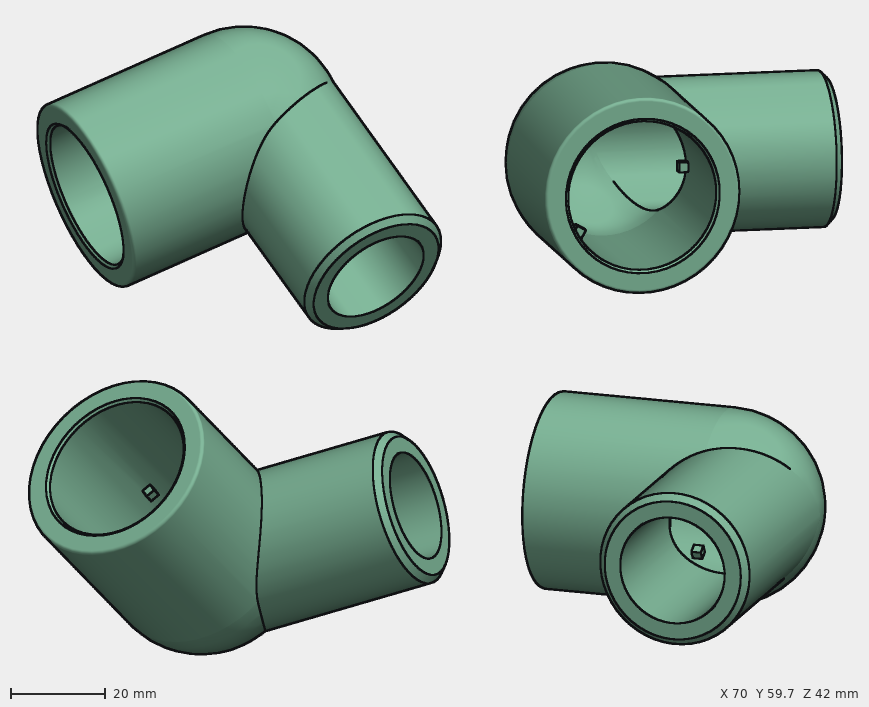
import cadquery as cq
import math

socket_diameter = 42.0
socket_bore = 32.0
socket_length = 38.65
rim_round = 0.7
bore_chamfer = 0.6

spigot_diameter = 33.25
spigot_bore = 23.25
spigot_reach = 49.0
spigot_chamfer = 1.5
spigot_offset = (socket_diameter - spigot_diameter) / 2
bore_clearance = 0.1
spigot_bore_offset = (socket_bore - spigot_bore) / 2 - bore_clearance

stop_count = 3
stop_width = 2.1
stop_height = 1.95
stop_length = 2.1
stop_embed = 0.7
stop_setback = 0.35


def domed_cylinder(diameter):
    """Solid cylinder running toward -Y from a hemispherical end centred on the origin."""
    radius = diameter / 2
    diagonal = radius * math.sqrt(0.5)
    return (
        cq.Workplane("XY")
        .moveTo(0, -socket_length)
        .lineTo(radius, -socket_length)
        .lineTo(radius, 0)
        .threePointArc((diagonal, diagonal), (0, radius))
        .close()
        .revolve(360, (0, 0, 0), (0, 1, 0))
    )


def spigot_cylinder(diameter, axis_offset):
    """Solid cylinder along +X, with its axis offset toward +Y."""
    return (
        cq.Workplane("YZ")
        .center(axis_offset, 0)
        .circle(diameter / 2)
        .extrude(spigot_reach)
    )


def pipe_stop(angle):
    """Block standing inward from the socket wall, just before the spigot bore."""
    radial_size = stop_height + stop_embed
    radial_center = socket_bore / 2 + stop_embed - radial_size / 2
    back = spigot_bore_offset - spigot_bore / 2 - stop_setback
    return (
        cq.Workplane("XY")
        .box(radial_size, stop_length, stop_width)
        .translate((radial_center, back - stop_length / 2, 0))
        .rotate((0, 0, 0), (0, 1, 0), angle)
    )


socket_body = domed_cylinder(socket_diameter).faces("<Y").edges().fillet(rim_round)
spigot_body = spigot_cylinder(spigot_diameter, spigot_offset)
spigot_body = spigot_body.faces(">X").edges().chamfer(spigot_chamfer)
body = socket_body.union(spigot_body)

body = body.cut(domed_cylinder(socket_bore)).cut(spigot_cylinder(spigot_bore, spigot_bore_offset))

lead_in = cq.Solid.makeCone(
    socket_bore / 2 + bore_chamfer,
    socket_bore / 2,
    bore_chamfer,
    cq.Vector(0, -socket_length, 0),
    cq.Vector(0, 1, 0),
)
body = body.cut(cq.Workplane(obj=lead_in))

for index in range(stop_count):
    body = body.union(pipe_stop(index * 360 / stop_count))

result = body